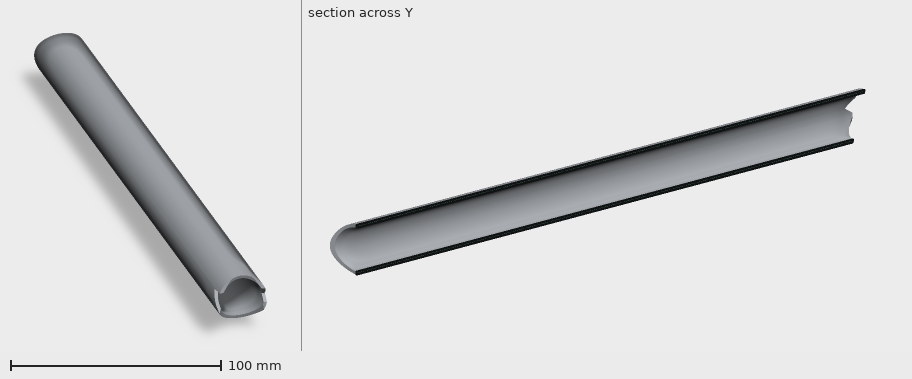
import cadquery as cq
import math

outer_diameter = 25.0
wall = 1.6
overall_length = 316.72
axis_rise = 3.75
outer_radius = outer_diameter / 2
inner_radius = outer_radius - wall

front_mate_radius = 16.0
front_saddle_depth = front_mate_radius - math.sqrt(front_mate_radius**2 - outer_radius**2)
front_mate_x = front_saddle_depth - front_mate_radius

rear_mate_radius = 12.6
rear_mate_lean = 16.5
rear_saddle_x = 310.8
rear_mate_x = rear_saddle_x + rear_mate_radius
mate_length = 200.0

trim_overrun = 1.0
upper_lobe_top = (314.3, axis_rise + outer_radius + trim_overrun)
upper_lobe_tip = (316.0, 9.2)
near_notch_root = (308.2, 8.4)
near_lower_tip = (overall_length, -0.9)
far_notch_root = (310.6, 4.5)
far_lower_tip = (315.0, 1.6)

tilt = math.atan2(axis_rise, rear_saddle_x - front_saddle_depth)
tube_direction = cq.Vector(math.cos(tilt), 0, math.sin(tilt))
clearance = 40.0


def cylinder_through(point, direction, radius, length):
    """Cylinder centred on a point, with its axis along a direction."""
    start = point - direction * (length / 2)
    return cq.Workplane(cq.Solid.makeCylinder(radius, length, start, direction))


def raw_tube():
    """Plain tilted tube, reaching into both mating tubes but not beyond their axes."""
    span = rear_mate_x - front_mate_x
    middle = cq.Vector((front_mate_x + rear_mate_x) / 2, 0, axis_rise / 2)
    outside = cylinder_through(middle, tube_direction, outer_radius, span)
    bore = cylinder_through(middle, tube_direction, inner_radius, span + clearance)
    return outside.cut(bore)


def front_mate():
    upright = cq.Vector(0, 0, 1)
    return cylinder_through(cq.Vector(front_mate_x, 0, 0), upright, front_mate_radius, mate_length)


def rear_mate():
    lean = math.radians(rear_mate_lean)
    leaning = cq.Vector(math.sin(lean), 0, math.cos(lean))
    centre = cq.Vector(rear_mate_x, 0, axis_rise)
    return cylinder_through(centre, leaning, rear_mate_radius, mate_length)


def rear_edge_cutter(notch_root, lower_tip, side):
    """Prism from the mid plane outwards; side is -1 for -Y and +1 for +Y."""
    beyond_x = overall_length + clearance
    outline = [
        upper_lobe_top,
        upper_lobe_tip,
        notch_root,
        lower_tip,
        (lower_tip[0], -clearance),
        (beyond_x, -clearance),
        (beyond_x, upper_lobe_top[1]),
    ]
    return cq.Workplane("XZ").polyline(outline).close().extrude(-side * outer_diameter)


result = raw_tube().cut(front_mate()).cut(rear_mate())
result = result.cut(rear_edge_cutter(near_notch_root, near_lower_tip, -1))
result = result.cut(rear_edge_cutter(far_notch_root, far_lower_tip, 1)).solids()